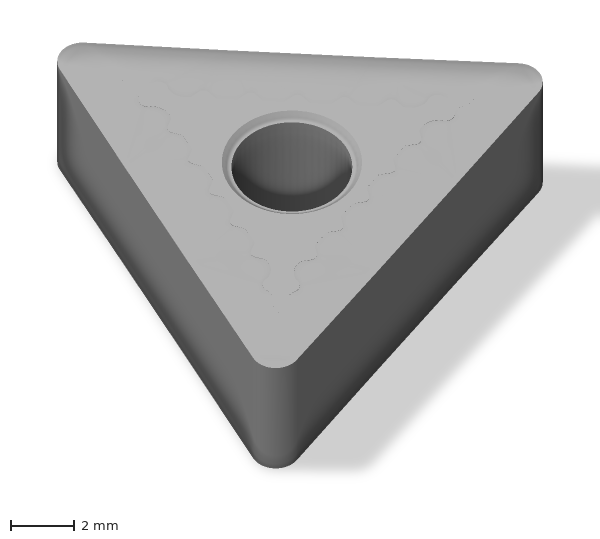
import cadquery as cq
import math


inscribed_radius = 4.7625
corner_radius = 0.8
thickness = 4.86
half_thickness = thickness / 2
corner_drop = 0.09
mid_side_drop = 0.135
side_count = 3
side_angle = 360 / side_count
corner_half_angle = math.radians(side_angle / 4)

corner_centre_y = corner_radius - inscribed_radius
corner_centre_x = -math.sqrt(3) * corner_centre_y
corner_apex = 2 * inscribed_radius - corner_radius

hole_radius = 3.81 / 2
seat_radius = 2.21
cone_end_radius = 2.055
cone_angle = math.radians(45)

wave_pitch = 1.482
wave_root_y = -2.57
wave_depth = 0.32
flat_half_length = 0.335
flank_angle = math.radians(45)
wave_half_width = wave_pitch / 2 - flat_half_length
outer_wave_number = 2

arch_start = (3.35, -2.59)
arch_middle = (3.8, -2.62)
arch_end = (4.09, -2.88)
nose_middle = (4.37, -3.17)
nose_end = (4.6, -3.11)
neck_middle = (4.76, -3.08)
neck_end = (4.95, -3.13)
tip_middle = (5.31, -3.265)
tip_x = 5.57
tip = (tip_x, -tip_x / math.sqrt(3))

rake_clearance = 0.004


def rotated_copies(shapes):
    """Copies of the shapes of one side on all sides of the triangle."""
    return [
        shape.rotate(cq.Vector(0, 0, 0), cq.Vector(0, 0, 1), side * side_angle)
        for side in range(side_count)
        for shape in shapes
    ]


def polar_point(radius, angle, z):
    """Point given by its distance from the Z axis, its angle from +X and its height."""
    return cq.Vector(radius * math.cos(angle), radius * math.sin(angle), z)


def cutting_edges():
    """Closed top rim: sagging side edges joined by level corner arcs."""
    corner_z = half_thickness - corner_drop
    side_start = cq.Vector(-corner_centre_x, -inscribed_radius, corner_z)
    side_middle = cq.Vector(0, -inscribed_radius, half_thickness - mid_side_drop)
    side_end = cq.Vector(corner_centre_x, -inscribed_radius, corner_z)
    corner_middle = polar_point(corner_apex, -corner_half_angle, corner_z)
    corner_centre = cq.Vector(corner_centre_x, corner_centre_y, 0)
    corner_end = corner_centre + polar_point(corner_radius, corner_half_angle, corner_z)
    return rotated_copies([
        cq.Edge.makeThreePointArc(side_start, side_middle, side_end),
        cq.Edge.makeThreePointArc(side_end, corner_middle, corner_end),
    ])


def rake_support_points():
    """Points that hold the rake face just below the plateau, at its flats, necks, tips and middle."""
    flat_xs = [wave_pitch * (number + 0.5) for number in range(outer_wave_number)]
    half_side = [(x, wave_root_y) for x in flat_xs] + [neck_middle, tip]
    whole_side = [(sign * x, y) for x, y in half_side for sign in (-1, 1)]
    z = half_thickness - rake_clearance
    vertices = rotated_copies([cq.Vertex.makeVertex(x, y, z) for x, y in whole_side])
    return [vertex.Center() for vertex in vertices] + [cq.Vector(0, 0, z)]


def wall_below(rim_edge):
    """Upright wall from a rim edge down to its mirror image: flat on a side, round on a corner."""
    lower_edge = rim_edge.mirror("XY")
    if math.isclose(rim_edge.startPoint().z, rim_edge.positionAt(0.5).z):
        return cq.Face.makeRuledSurface(rim_edge, lower_edge)
    uprights = [
        cq.Edge.makeLine(rim_edge.startPoint(), lower_edge.startPoint()),
        cq.Edge.makeLine(rim_edge.endPoint(), lower_edge.endPoint()),
    ]
    return cq.Face.makeFromWires(cq.Wire.assembleEdges([rim_edge, uprights[1], lower_edge, uprights[0]]))


def insert_body():
    """Triangular body closed by a smooth rake face above and its mirror image below."""
    upper_rim = cutting_edges()
    upper_rake = cq.Face.makeNSidedSurface(upper_rim, rake_support_points())
    lower_rake = upper_rake.mirror("XY")
    walls = [wall_below(edge) for edge in upper_rim]
    shell = cq.Shell.makeShell([upper_rake, lower_rake, *walls])
    return cq.Workplane(cq.Solid.makeSolid(shell))


def half_wavy_edge():
    """Edge of the plateau from the middle of the -Y side to the tip on its +X end."""
    crest_radius = (wave_half_width * math.tan(flank_angle) - wave_depth) / (1 / math.cos(flank_angle) - 1)
    crest_y = wave_root_y - wave_depth
    flank_end_x = crest_radius * math.sin(flank_angle)
    flank_end_y = crest_y + crest_radius * (1 - math.cos(flank_angle))
    crest_turn = flank_angle / 2
    crest_middle_x = crest_radius * math.sin(crest_turn)
    crest_middle_y = crest_y + crest_radius * (1 - math.cos(crest_turn))

    path = cq.Workplane().moveTo(0, crest_y)
    for number in range(outer_wave_number + 1):
        x = number * wave_pitch
        if number > 0:
            path = path.lineTo(x - wave_half_width, wave_root_y)
            path = path.lineTo(x - flank_end_x, flank_end_y)
            path = path.threePointArc((x - crest_middle_x, crest_middle_y), (x, crest_y))
        path = path.threePointArc((x + crest_middle_x, crest_middle_y), (x + flank_end_x, flank_end_y))
        if number < outer_wave_number:
            path = path.lineTo(x + wave_half_width, wave_root_y)
    path = path.lineTo(*arch_start).threePointArc(arch_middle, arch_end)
    path = path.threePointArc(nose_middle, nose_end)
    path = path.threePointArc(neck_middle, neck_end)
    return path.threePointArc(tip_middle, tip).wire().val()


def plateau_prism(height):
    """Prism on the wavy triangle, centred on the XY plane."""
    half_side = half_wavy_edge().Edges()
    whole_side = half_side + [edge.mirror("YZ") for edge in half_side]
    outline = cq.Wire.combine(rotated_copies(whole_side))[0]
    base = cq.Workplane().add(outline).toPending().extrude(height)
    return base.translate((0, 0, -height / 2))


def hole_cutter():
    """Bore with a seat at both ends: a cone followed by a concave round that is level at the bore."""
    cone_depth = (seat_radius - cone_end_radius) * math.tan(cone_angle)
    round_radius = (cone_end_radius - hole_radius) / math.sin(cone_angle)
    round_depth = round_radius * (1 - math.cos(cone_angle))
    cone_end_z = half_thickness - cone_depth
    seat_bottom_z = cone_end_z - round_depth
    middle_turn = cone_angle / 2
    round_middle_x = hole_radius + round_radius * math.sin(middle_turn)
    round_middle_z = seat_bottom_z + round_radius * (1 - math.cos(middle_turn))
    return (
        cq.Workplane("XZ")
        .moveTo(0, -half_thickness)
        .lineTo(seat_radius, -half_thickness)
        .lineTo(cone_end_radius, -cone_end_z)
        .threePointArc((round_middle_x, -round_middle_z), (hole_radius, -seat_bottom_z))
        .lineTo(hole_radius, seat_bottom_z)
        .threePointArc((round_middle_x, round_middle_z), (cone_end_radius, cone_end_z))
        .lineTo(seat_radius, half_thickness)
        .lineTo(0, half_thickness)
        .close()
        .revolve(360, (0, 0), (0, 1))
    )


rake_ring = insert_body().cut(plateau_prism(2 * thickness))
result = rake_ring.union(plateau_prism(thickness)).cut(hole_cutter())